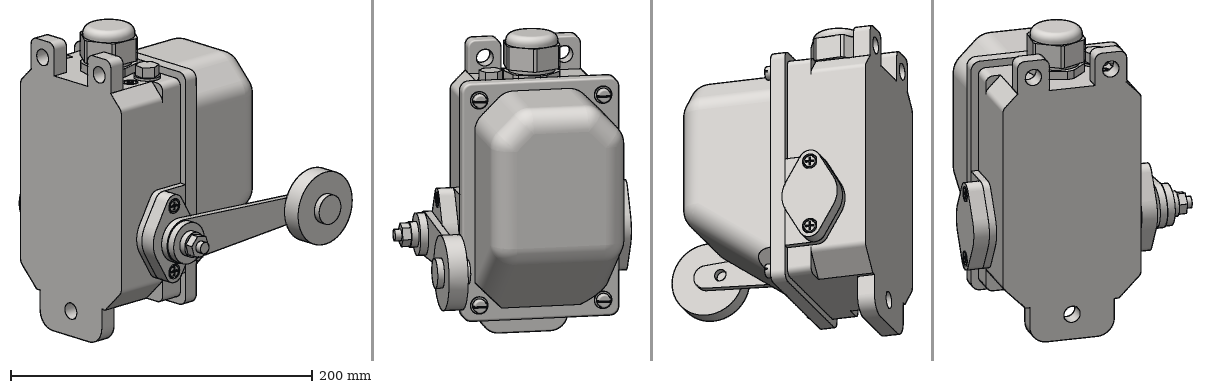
import cadquery as cq
import math


HOUSING_WIDTH = 96.1
HOUSING_TOP = 102.6
HOUSING_BOTTOM = -49.5
HOUSING_DEPTH = 54.8
HOUSING_CORNER_R = 5.0
TOP_CHAMFER = 10.2
BOTTOM_CHAMFER = 15.5
CHAMFER_DEPTH = 38.2

TAB_THICKNESS = 12.1
TAB_EDGE_R = 1.0
TAB_HOLE_R = 5.6
TOP_TAB_WIDTH = 22.2
TOP_TAB_X = 27.0
TOP_TAB_END = 125.0
TOP_TAB_HOLE_Z = 113.0
TOP_TAB_CORNER_R = 5.0
BOTTOM_TAB_WIDTH = 59.0
BOTTOM_TAB_END = -75.0
BOTTOM_TAB_HOLE_Z = -57.5
BOTTOM_TAB_CORNER_R = 12.1

SHAFT_Y = 33.6
FLANGE_MID_R = 19.5
FLANGE_END_R = 7.7
FLANGE_SCREW_Z = 22.8
FLANGE_SEAT_X = 53.0
FLANGE_FACE_X = 64.0

SUNK_HOLE_R = 5.0
SUNK_HEAD_R = 4.0
SUNK_DEPTH = 2.5
CROSS_LENGTH = 5.5
CROSS_WIDTH = 1.0
CROSS_DEPTH = 1.7
GROUND_SCREW_X = 29.3
GROUND_SCREW_Y = 26.5

GLAND_Y = 35.1
GLAND_LOCKNUT_FLATS = 34.7
GLAND_LOCKNUT_R = 18.8
GLAND_LOCKNUT_TURN = 13.7
GLAND_LOCKNUT_TOP = 108.5
GLAND_NECK_R = 15.5
GLAND_NUT_BOTTOM = 111.5
GLAND_NUT_TOP = 127.0
GLAND_NUT_FLATS = 35.5
GLAND_NUT_R = 19.9
GLAND_NUT_TURN = -4.6
GLAND_CAP_R = 17.3
GLAND_CAP_ROUND = 5.0
GLAND_TOP = 134.0

PLUG_X = 29.3
PLUG_Y = 42.2
PLUG_WASHER_R = 8.8
PLUG_WASHER_HEIGHT = 1.7
PLUG_HEX_R = 8.0
PLUG_TURN = -8.0
PLUG_HEIGHT = 8.8

COVER_WIDTH = 106.2
COVER_TOP = 107.6
COVER_BOTTOM = -54.1
COVER_RIM_FACE = 65.5
COVER_CORNER_R = 6.3
COVER_EDGE_R = 1.5
DOME_WIDTH = 89.9
DOME_FACE = 133.0
DOME_TOP = 101.8
DOME_BEND_Z = 1.7
DOME_SLOPE = 35.0
DOME_ROUND = 14.8
DOME_TOP_CHAMFER = 20.3
DOME_LOWER_CHAMFER_Z = -27.4

COVER_SCREW_INSET = 11.0
COVER_WASHER_R = 5.9
COVER_WASHER_THICKNESS = 0.8
COVER_HEAD_R = 4.5
COVER_HEAD_HEIGHT = 5.5
COVER_HEAD_ROUND = 1.3
COVER_SLOT_WIDTH = 1.0
COVER_SLOT_DEPTH = 2.3

SHAFT_R = 4.0
SHAFT_END_X = 93.0
ARM_INNER_X = 67.3
ARM_OUTER_X = 72.5
HUB_R = 15.0
ARM_END_R = 8.0
ROLLER_Y = 152.4
ARM_HOLE_Y = 141.7
WASHER_R = 14.2
WASHER_OUTER_X = 78.0
SPACER_R = 8.5
SPACER_OUTER_X = 82.8
NUT_R = 8.0
NUT_TURN = 12.7
NUT_OUTER_X = 88.6
ROLLER_R = 25.0
ROLLER_OUTER_X = 85.5
PIN_HEAD_R = 10.0
PIN_HEAD_OUTER_X = 90.0


def block(x0, x1, y0, y1, z0, z1):
    """Box between two opposite corners."""
    return cq.Workplane("XY").box(x1 - x0, y1 - y0, z1 - z0, centered=False).translate((x0, y0, z0))


def x_disc(radius, y, x0, x1):
    """Cylinder along X, centred on height zero."""
    return cq.Workplane("YZ", origin=(x0, y, 0)).circle(radius).extrude(x1 - x0)


def hexagon(workplane, circumradius, height, turn):
    """Hexagonal prism with a corner at the turn angle from the workplane's local X."""
    corners = [math.radians(turn + 60 * i) for i in range(6)]
    points = [(circumradius * math.cos(a), circumradius * math.sin(a)) for a in corners]
    return workplane.polyline(points).close().extrude(height)


def tapered_link(workplane, big_r, end_r, distance, thickness):
    """Plate around a big circle at the origin and a small one along local X, joined by tangents."""
    tilt = math.acos((big_r - end_r) / distance)
    c, s = math.cos(tilt), math.sin(tilt)
    return (
        workplane.moveTo(big_r * c, big_r * s)
        .threePointArc((-big_r, 0), (big_r * c, -big_r * s))
        .lineTo(distance + end_r * c, -end_r * s)
        .threePointArc((distance + end_r, 0), (distance + end_r * c, end_r * s))
        .close()
        .extrude(thickness)
    )


def sunk_screw_recesses(plane):
    """Ring groove and cross recess that form a sunk screw; the plane's normal points out of the surface."""
    floor = cq.Workplane(plane).workplane(offset=-SUNK_DEPTH)
    groove = floor.circle(SUNK_HOLE_R).circle(SUNK_HEAD_R).extrude(SUNK_DEPTH)
    cross_floor = cq.Workplane(plane).workplane(offset=-CROSS_DEPTH)
    cross = cross_floor.rect(CROSS_LENGTH, CROSS_WIDTH).extrude(CROSS_DEPTH)
    cross = cross.union(cross_floor.rect(CROSS_WIDTH, CROSS_LENGTH).extrude(CROSS_DEPTH))
    return groove, cross


def cut_sunk_screw(body, plane):
    """Outline a sunk screw in the surface at the plane's origin."""
    for recess in sunk_screw_recesses(plane):
        body = body.cut(recess)
    return body


def housing_block():
    half = HOUSING_WIDTH / 2
    body = block(-half, half, 0, HOUSING_DEPTH, HOUSING_BOTTOM, HOUSING_TOP)
    body = body.edges("|Y").fillet(HOUSING_CORNER_R)
    front = block(-half, half, 0, CHAMFER_DEPTH, HOUSING_BOTTOM, HOUSING_TOP)
    front = front.edges("|Y and >Z").chamfer(TOP_CHAMFER)
    front = front.edges("|Y and <Z").chamfer(BOTTOM_CHAMFER)
    front = front.edges("|Y and (<X or >X)").fillet(HOUSING_CORNER_R)
    rear = body.intersect(block(-half, half, CHAMFER_DEPTH, HOUSING_DEPTH, HOUSING_BOTTOM, HOUSING_TOP))
    return rear.union(front)


def tab(x, width, root_z, end_z, hole_z, corner_r):
    """Mounting tab rising or hanging from the housing, with one through hole."""
    low, high = min(root_z, end_z), max(root_z, end_z)
    plate = block(x - width / 2, x + width / 2, 0, TAB_THICKNESS, low, high)
    end_side = ">Z" if end_z > root_z else "<Z"
    plate = plate.edges("|Y").edges(end_side).fillet(corner_r)
    plate = plate.faces(">Y").edges(end_side).fillet(TAB_EDGE_R)
    hole = cq.Workplane("XZ", origin=(x, 0, hole_z)).circle(TAB_HOLE_R).extrude(-TAB_THICKNESS)
    return plate.cut(hole)


def rhombic_plate(x0, x1):
    """Plate around the shaft axis, tapering to a small round end above and below."""
    plane = cq.Workplane("YZ", origin=(x0, SHAFT_Y, 0))
    upper, lower = [
        tapered_link(
            plane.transformed(rotate=(0, 0, turn)), FLANGE_MID_R, FLANGE_END_R, FLANGE_SCREW_Z, x1 - x0
        )
        for turn in (90, -90)
    ]
    return upper.union(lower)


def flange_seat():
    """Raised seat for the +X flange, matching its outline and reaching back to the cover."""
    wall_x = HOUSING_WIDTH / 2
    half_height = FLANGE_SCREW_Z + FLANGE_END_R
    bridge = block(wall_x, FLANGE_SEAT_X, SHAFT_Y, HOUSING_DEPTH, -half_height, half_height)
    return rhombic_plate(wall_x, FLANGE_SEAT_X).union(bridge)


def rounded_nut(flats, corner_r, turn, z0, z1):
    """Hexagon nut on the gland axis with corners cut round; turn is measured from -Y."""
    base = cq.Workplane("XY", origin=(0, GLAND_Y, z0))
    nut = hexagon(base, flats / math.sqrt(3), z1 - z0, turn - 90)
    return nut.intersect(base.circle(corner_r).extrude(z1 - z0))


def cable_gland():
    axis = cq.Workplane("XY", origin=(0, GLAND_Y, HOUSING_TOP))
    neck = axis.circle(GLAND_NECK_R).extrude(GLAND_NUT_BOTTOM - HOUSING_TOP)
    cap_base = axis.workplane(offset=GLAND_NUT_TOP - HOUSING_TOP)
    cap = cap_base.circle(GLAND_CAP_R).extrude(GLAND_TOP - GLAND_NUT_TOP)
    cap = cap.faces(">Z").edges().fillet(GLAND_CAP_ROUND)
    locknut = rounded_nut(
        GLAND_LOCKNUT_FLATS, GLAND_LOCKNUT_R, GLAND_LOCKNUT_TURN, HOUSING_TOP, GLAND_LOCKNUT_TOP
    )
    nut = rounded_nut(GLAND_NUT_FLATS, GLAND_NUT_R, GLAND_NUT_TURN, GLAND_NUT_BOTTOM, GLAND_NUT_TOP)
    return locknut.union(neck).union(nut).union(cap)


def hexagon_plug():
    base = cq.Workplane("XY", origin=(PLUG_X, PLUG_Y, HOUSING_TOP))
    washer = base.circle(PLUG_WASHER_R).extrude(PLUG_WASHER_HEIGHT)
    return washer.union(hexagon(base, PLUG_HEX_R, PLUG_HEIGHT, PLUG_TURN))


def make_housing():
    body = housing_block()
    for x in (-TOP_TAB_X, TOP_TAB_X):
        body = body.union(tab(x, TOP_TAB_WIDTH, HOUSING_TOP, TOP_TAB_END, TOP_TAB_HOLE_Z, TOP_TAB_CORNER_R))
    body = body.union(
        tab(0, BOTTOM_TAB_WIDTH, HOUSING_BOTTOM, BOTTOM_TAB_END, BOTTOM_TAB_HOLE_Z, BOTTOM_TAB_CORNER_R)
    )
    seat = flange_seat()
    body = body.union(seat).union(seat.mirror("YZ"))
    body = body.union(cable_gland()).union(hexagon_plug())
    ground_plane = cq.Plane(
        origin=(GROUND_SCREW_X, GROUND_SCREW_Y, HOUSING_TOP), xDir=(1, 0, 0), normal=(0, 0, 1)
    )
    return cut_sunk_screw(body, ground_plane)


def cover_rim():
    half = COVER_WIDTH / 2
    rim = block(-half, half, HOUSING_DEPTH, COVER_RIM_FACE, COVER_BOTTOM, COVER_TOP)
    rim = rim.edges("|Y").fillet(COVER_CORNER_R)
    return rim.faces(">Y").edges().fillet(COVER_EDGE_R)


def cover_dome():
    """Rounded dome with a sloping underside and chamfered corners."""
    half = DOME_WIDTH / 2
    slope_drop = (DOME_FACE - COVER_RIM_FACE) * math.tan(math.radians(DOME_SLOPE))
    dome = (
        cq.Workplane("YZ", origin=(-half, 0, 0))
        .moveTo(COVER_RIM_FACE, DOME_TOP)
        .lineTo(DOME_FACE, DOME_TOP)
        .lineTo(DOME_FACE, DOME_BEND_Z)
        .lineTo(COVER_RIM_FACE, DOME_BEND_Z - slope_drop)
        .close()
        .extrude(DOME_WIDTH)
    )
    dome = dome.edges("|Y and >Z").chamfer(DOME_TOP_CHAMFER)
    base_edges = dome.faces("<Y").edges().vals()
    round_edges = [e for e in dome.edges().vals() if not any(e.isSame(b) for b in base_edges)]
    dome = dome.newObject(round_edges).fillet(DOME_ROUND)
    for side in (-1, 1):
        corner = (
            cq.Workplane("XZ", origin=(0, COVER_RIM_FACE, 0))
            .moveTo(side * half, DOME_LOWER_CHAMFER_Z)
            .lineTo(side * half, DOME_LOWER_CHAMFER_Z - half)
            .lineTo(0, DOME_LOWER_CHAMFER_Z - half)
            .close()
            .extrude(COVER_RIM_FACE - DOME_FACE)
        )
        dome = dome.cut(corner)
    return dome


def cover_screw(x, z):
    """Slotted screw head on a thin washer, standing on the rim."""
    face = cq.Workplane("XZ", origin=(x, COVER_RIM_FACE, z))
    washer = face.circle(COVER_WASHER_R).extrude(-COVER_WASHER_THICKNESS)
    head_top = COVER_WASHER_THICKNESS + COVER_HEAD_HEIGHT
    head = face.circle(COVER_HEAD_R).extrude(-head_top)
    head = head.faces(">Y").edges().fillet(COVER_HEAD_ROUND)
    slot = (
        face.workplane(offset=-head_top)
        .rect(2 * COVER_HEAD_R, COVER_SLOT_WIDTH)
        .extrude(COVER_SLOT_DEPTH)
    )
    return washer.union(head.cut(slot))


def make_cover():
    cover = cover_rim().union(cover_dome())
    screw_x = COVER_WIDTH / 2 - COVER_SCREW_INSET
    for x in (-screw_x, screw_x):
        for z in (COVER_BOTTOM + COVER_SCREW_INSET, COVER_TOP - COVER_SCREW_INSET):
            cover = cover.union(cover_screw(x, z))
    return cover


def make_flange():
    """Flange plate on the +X side, held by two sunk screws."""
    flange = rhombic_plate(FLANGE_SEAT_X, FLANGE_FACE_X)
    for z in (-FLANGE_SCREW_Z, FLANGE_SCREW_Z):
        plane = cq.Plane(origin=(FLANGE_FACE_X, SHAFT_Y, z), xDir=(0, 1, 0), normal=(1, 0, 0))
        flange = cut_sunk_screw(flange, plane)
    return flange


def lever_arm():
    arm = tapered_link(
        cq.Workplane("YZ", origin=(ARM_INNER_X, SHAFT_Y, 0)),
        HUB_R, ARM_END_R, ROLLER_Y - SHAFT_Y, ARM_OUTER_X - ARM_INNER_X,
    )
    return arm.cut(x_disc(SHAFT_R, ARM_HOLE_Y, ARM_INNER_X, ARM_OUTER_X))


def hub_stack():
    """Shaft standing on the flange, with the washer, spacer and nut that hold the arm."""
    shaft = x_disc(SHAFT_R, SHAFT_Y, FLANGE_FACE_X, SHAFT_END_X)
    washer = x_disc(WASHER_R, SHAFT_Y, ARM_OUTER_X, WASHER_OUTER_X)
    spacer = x_disc(SPACER_R, SHAFT_Y, WASHER_OUTER_X, SPACER_OUTER_X)
    nut_plane = cq.Workplane("YZ", origin=(SPACER_OUTER_X, SHAFT_Y, 0))
    nut = hexagon(nut_plane, NUT_R, NUT_OUTER_X - SPACER_OUTER_X, -NUT_TURN)
    return shaft.union(washer).union(spacer).union(nut)


def roller():
    wheel = x_disc(ROLLER_R, ROLLER_Y, ARM_OUTER_X, ROLLER_OUTER_X)
    return wheel.union(x_disc(PIN_HEAD_R, ROLLER_Y, ROLLER_OUTER_X, PIN_HEAD_OUTER_X))


def make_drive():
    """Flange that carries the shaft, the lever and its roller as one body."""
    return make_flange().union(lever_arm()).union(hub_stack()).union(roller())


housing = make_housing()
cover = make_cover()
blank_flange = make_flange().mirror("YZ")
drive = make_drive()

bodies = [housing, cover, blank_flange, drive]
result = cq.Compound.makeCompound([body.solids().val() for body in bodies])